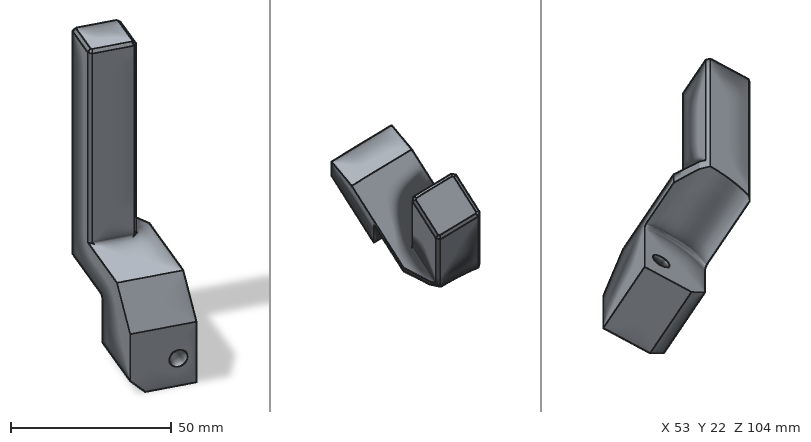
import cadquery as cq
import math

length = 53.0
width = 22.0
height = 104.0

shank_side = 16.0
edge_chamfer = 1.0
root_fillet = 0.5

arm_top = 34.0
leg_start = 28.0
outer_chamfer = 12.0
toe_chamfer = 5.0
rear_taper_angle = math.radians(30)

clearance_radius = 22.0
clearance_center_z = 7.0
clearance_fillet = 1.5

hole_diameter = 6.0
hole_z = 10.0
pivot_y = shank_side


def make_foot():
    """Block with a tapered rear corner and chamfered outer and toe edges."""
    taper_slope = math.tan(rear_taper_angle)
    taper_end_x = (width - shank_side) / taper_slope
    corner_x = edge_chamfer / (1 - taper_slope)
    corner_y = shank_side + corner_x * taper_slope
    foot = (
        cq.Workplane("XY")
        .moveTo(edge_chamfer, 0)
        .lineTo(length, 0)
        .lineTo(length, width)
        .lineTo(taper_end_x, width)
        .lineTo(corner_x, corner_y)
        .lineTo(0, shank_side - edge_chamfer)
        .lineTo(0, edge_chamfer)
        .close()
        .extrude(arm_top)
    )
    foot = foot.edges(">X and >Z").chamfer(outer_chamfer)
    return foot.edges("<Y and <Z").chamfer(toe_chamfer)


def make_shank():
    """Square bar with chamfered long edges and a chamfered top."""
    return (
        cq.Workplane("XY")
        .workplane(offset=arm_top)
        .rect(shank_side, shank_side)
        .extrude(height - arm_top)
        .edges("|Z")
        .chamfer(edge_chamfer)
        .faces(">Z")
        .chamfer(edge_chamfer)
        .translate((shank_side / 2, shank_side / 2, 0))
    )


def make_root_fillet():
    """Concave fillets along the right and rear shank faces, trimmed by the shank's chamfer planes."""

    def fillet_strip(plane, run):
        return (
            cq.Workplane(plane)
            .moveTo(shank_side, arm_top)
            .lineTo(shank_side + root_fillet, arm_top)
            .radiusArc((shank_side, arm_top + root_fillet), root_fillet)
            .close()
            .extrude(run)
        )

    middle = shank_side / 2
    reach = shank_side - edge_chamfer
    chamfer_planes = (
        cq.Workplane("XY")
        .center(middle, middle)
        .polygon(4, 2 * reach)
        .extrude(height)
    )
    right = fillet_strip("XZ", -shank_side)
    rear = fillet_strip("YZ", shank_side)
    return right.union(rear).intersect(chamfer_planes)


def make_clearance():
    """Cylinder along X whose rounded end leaves a fillet at the leg."""
    return (
        cq.Workplane("YZ")
        .center(pivot_y, clearance_center_z)
        .circle(clearance_radius)
        .extrude(leg_start)
        .faces(">X")
        .edges()
        .fillet(clearance_fillet)
    )


def make_hole():
    return (
        cq.Workplane("YZ")
        .center(pivot_y, hole_z)
        .circle(hole_diameter / 2)
        .extrude(length)
    )


body = make_foot().union(make_shank()).union(make_root_fillet())
result = body.cut(make_clearance()).cut(make_hole())